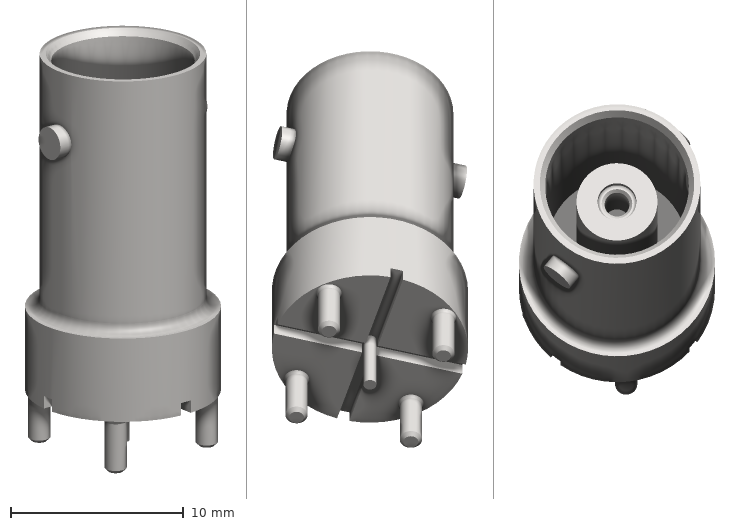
import cadquery as cq

total_height = 23.88
base_bottom = 3.3
base_top = 8.4
base_diameter = 11.35
base_radius = base_diameter / 2
barrel_radius = 4.82
shoulder_radius = 0.62

rim_radius = 4.47
bore_mouth_radius = 4.15
rim_chamfer_depth = 0.4
bore_depth = 11.95
bore_floor_radius = 4.0

flange_radius = 3.41
flange_height = 1.2
insulator_radius = 2.35
insulator_top_depth = 3.5

socket_radius = 1.12
contact_recess = 0.38
contact_chamfer = 0.17
contact_hole_radius = 0.72
contact_hole_depth = 3.82

lug_radius = 0.98
lug_span = 11.1
lug_height = 19.63

pin_radius = 0.65
pin_offset = 3.45
pin_chamfer = 0.21
pin_collar_radius = 0.75
pin_collar_height = 0.21
centre_pin_bottom = 0.17

slot_width = 0.75
slot_top = 4.05


def cylinder(radius, bottom, top):
    """Cylinder on the Z axis between two heights."""
    return cq.Workplane("XY").workplane(offset=bottom).circle(radius).extrude(top - bottom)


def shell():
    """Base and barrel joined by a concave shoulder."""
    return (
        cq.Workplane("XZ")
        .moveTo(0, base_bottom)
        .lineTo(base_radius, base_bottom)
        .lineTo(base_radius, base_top)
        .lineTo(barrel_radius + shoulder_radius, base_top)
        .radiusArc((barrel_radius, base_top + shoulder_radius), shoulder_radius)
        .lineTo(barrel_radius, total_height)
        .lineTo(0, total_height)
        .close()
        .revolve(360, (0, 0), (0, 1))
    )


def bore():
    """Space removed from the barrel: chamfered mouth, bore tapering to the floor."""
    floor = total_height - bore_depth
    taper_top = total_height - rim_chamfer_depth
    return (
        cq.Workplane("XZ")
        .moveTo(0, floor)
        .lineTo(bore_floor_radius, floor)
        .lineTo(bore_mouth_radius, taper_top)
        .lineTo(rim_radius, total_height)
        .lineTo(0, total_height)
        .close()
        .revolve(360, (0, 0), (0, 1))
    )


def insulator():
    """Flanged insulator with a recessed contact that has a chamfered hole."""
    floor = total_height - bore_depth
    top = total_height - insulator_top_depth
    contact_top = top - contact_recess
    hole_bottom = top - contact_hole_depth
    flange = cylinder(flange_radius, floor, floor + flange_height)
    post = cylinder(insulator_radius, floor, top)
    socket = cylinder(socket_radius, contact_top, top)
    hole = cylinder(contact_hole_radius, hole_bottom, contact_top)
    hole = hole.faces(">Z").workplane().circle(contact_hole_radius + contact_chamfer)
    hole = hole.extrude(-contact_chamfer, taper=45)
    return flange.union(post).cut(socket).cut(hole)


def lugs():
    """Bayonet lugs on opposite sides along Y."""
    return (
        cq.Workplane("XZ")
        .center(0, lug_height)
        .circle(lug_radius)
        .extrude(lug_span / 2, both=True)
        .cut(cylinder((barrel_radius + rim_radius) / 2, 0, total_height))
    )


def mounting_pin():
    """Pin with a chamfered tip and a conical collar under the base."""
    return (
        cq.Workplane("XZ")
        .lineTo(pin_radius - pin_chamfer, 0)
        .lineTo(pin_radius, pin_chamfer)
        .lineTo(pin_radius, base_bottom - pin_collar_height)
        .lineTo(pin_collar_radius, base_bottom)
        .lineTo(0, base_bottom)
        .close()
        .revolve(360, (0, 0), (0, 1))
    )


result = shell().cut(bore()).union(insulator()).union(lugs())

slot_height = slot_top - base_bottom
for length_x, length_y in [(2 * base_radius, slot_width), (slot_width, 2 * base_radius)]:
    slot = cq.Workplane("XY").box(length_x, length_y, slot_height, centered=(True, True, False))
    result = result.cut(slot.translate((0, 0, base_bottom)))

result = result.union(cylinder(slot_width / 2, centre_pin_bottom, slot_top))
for x in (-pin_offset, pin_offset):
    for y in (-pin_offset, pin_offset):
        result = result.union(mounting_pin().translate((x, y, 0)))